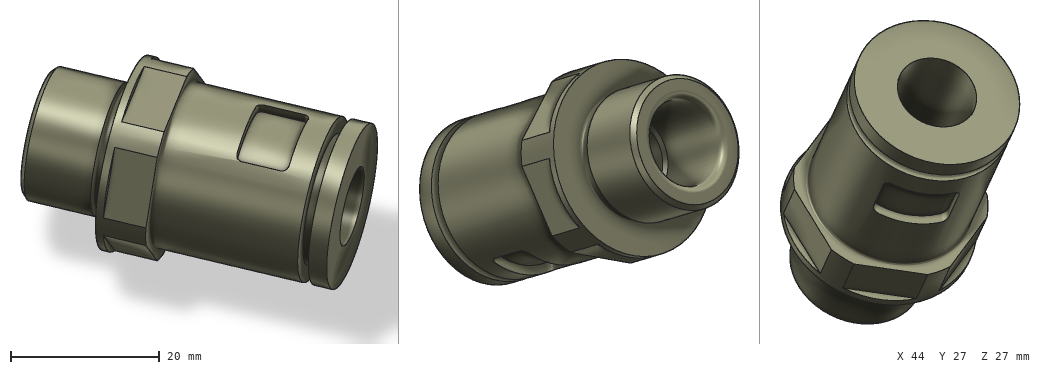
import cadquery as cq
import math

total_length = 44.0
thread_end = 10.05
flange_start = 12.0
flange_end = 13.1
hex_end = 19.1
groove_start = 39.9
groove_end = 41.4

thread_diameter = 18.6
neck_diameter = 17.1
flange_diameter = 27.0
body_diameter = 23.0
groove_diameter = 18.3
entry_bore_diameter = 12.0
bore_diameter = 11.0

thread_chamfer = 0.65
runout_angle = math.radians(60)
runout_fillet = 0.35
neck_fillet = 0.45
body_fillet = 0.4
entry_radius = 1.0

hex_sides = 6
across_flats = 25.0

window_start = 29.15
window_end = 36.48
window_width = 10.45
window_corner_radius = 0.95
window_floor_diameter = 20.4


def concave_middle(radius):
    """Offset, from the end of a concave quarter arc, of its middle point."""
    return radius * (1 - math.sqrt(0.5))


def make_turned_body():
    """Revolve the outer outline about the X axis."""
    neck_radius = neck_diameter / 2
    thread_radius = thread_diameter / 2
    flange_radius = flange_diameter / 2
    body_radius = body_diameter / 2
    groove_radius = groove_diameter / 2
    cone_foot_radius = neck_radius + runout_fillet * (1 - math.cos(runout_angle))
    cone_end = thread_end + (thread_radius - cone_foot_radius) / math.tan(runout_angle)
    runout_end = cone_end + runout_fillet * math.sin(runout_angle)
    runout_middle = (
        runout_end - runout_fillet * math.sin(runout_angle / 2),
        neck_radius + runout_fillet * (1 - math.cos(runout_angle / 2)),
    )
    neck_middle = concave_middle(neck_fillet)
    body_middle = concave_middle(body_fillet)
    outline = (
        cq.Workplane("XY")
        .lineTo(0, thread_radius - thread_chamfer)
        .lineTo(thread_chamfer, thread_radius)
        .lineTo(thread_end, thread_radius)
        .lineTo(cone_end, cone_foot_radius)
        .threePointArc(runout_middle, (runout_end, neck_radius))
        .lineTo(flange_start - neck_fillet, neck_radius)
        .threePointArc(
            (flange_start - neck_middle, neck_radius + neck_middle),
            (flange_start, neck_radius + neck_fillet),
        )
        .lineTo(flange_start, flange_radius)
        .lineTo(hex_end, flange_radius)
        .lineTo(hex_end, body_radius + body_fillet)
        .threePointArc(
            (hex_end + body_middle, body_radius + body_middle),
            (hex_end + body_fillet, body_radius),
        )
        .lineTo(groove_start, body_radius)
        .lineTo(groove_start, groove_radius)
        .lineTo(groove_end, groove_radius)
        .lineTo(groove_end, body_radius)
        .lineTo(total_length, body_radius)
        .lineTo(total_length, 0)
        .close()
    )
    return outline.revolve(360, (0, 0, 0), (1, 0, 0))


def cut_hexagon(part):
    """Cut six wrench flats behind the flange, one pair facing +Z and -Z."""
    flat_depth = (flange_diameter - across_flats) / 2
    flat_length = hex_end - flange_end
    for side in range(hex_sides):
        cutter = (
            cq.Workplane("XY")
            .box(flat_length, flange_diameter, flat_depth, centered=(False, True, False))
            .translate((flange_end, 0, across_flats / 2))
            .rotate((0, 0, 0), (1, 0, 0), side * 360 / hex_sides)
        )
        part = part.cut(cutter)
    return part


def cut_bore(part):
    """Cut the through bore, its wider entry with a 45 degree step, and the rounded edge."""
    entry_radius_inner = entry_bore_diameter / 2
    step_height = (entry_bore_diameter - bore_diameter) / 2
    middle = concave_middle(entry_radius)
    bore = (
        cq.Workplane("XY")
        .lineTo(0, entry_radius_inner + entry_radius)
        .threePointArc(
            (middle, entry_radius_inner + middle),
            (entry_radius, entry_radius_inner),
        )
        .lineTo(flange_start, entry_radius_inner)
        .lineTo(flange_start + step_height, bore_diameter / 2)
        .lineTo(total_length, bore_diameter / 2)
        .lineTo(total_length, 0)
        .close()
        .revolve(360, (0, 0, 0), (1, 0, 0))
    )
    return part.cut(bore)


def cut_windows(part):
    """Sink the two rounded rectangular windows to a cylindrical floor."""
    window_length = window_end - window_start
    window_prism = (
        cq.Workplane("XY")
        .box(window_length, window_width, body_diameter + 0.9)
        .edges("|Z")
        .fillet(window_corner_radius)
        .translate(((window_start + window_end) / 2, 0, 0))
    )
    floor_core = (
        cq.Workplane("YZ")
        .circle(window_floor_diameter / 2)
        .extrude(total_length)
    )
    return part.cut(window_prism.cut(floor_core))


result = make_turned_body()
result = cut_hexagon(result)
result = cut_bore(result)
result = cut_windows(result)